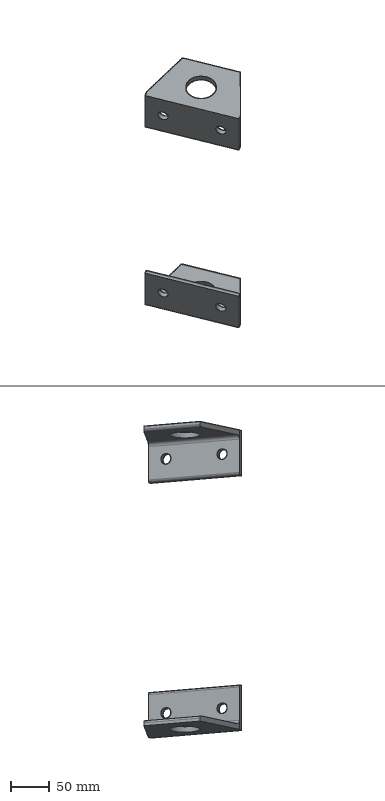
import cadquery as cq

overall_height = 400.0
bracket_width = 130.0
shelf_depth = 80.0
wall_height = 60.0

thickness = 7.0
root_radius = 5.0
toe_radius = 3.0

shelf_tip_width = 80.0
straight_side_depth = thickness

shelf_hole_diameter = 40.0
shelf_hole_y = 37.5
bolt_hole_diameter = 14.0
bolt_hole_spacing = 80.0
bolt_hole_height = 30.5

cut_margin = 4.0


def angle_section():
    """L-section centred on X, with its heel along the X axis."""
    profile = (
        cq.Workplane("YZ")
        .polyline([
            (0, 0),
            (shelf_depth, 0),
            (shelf_depth, thickness),
            (thickness, thickness),
            (thickness, wall_height),
            (0, wall_height),
        ])
        .close()
        .extrude(bracket_width / 2, both=True)
    )
    root_edge = cq.selectors.NearestToPointSelector((0, thickness, thickness))
    shelf_toe = cq.selectors.NearestToPointSelector((0, shelf_depth, thickness))
    wall_toe = cq.selectors.NearestToPointSelector((0, thickness, wall_height))
    rounded_root = profile.edges("|X").edges(root_edge).fillet(root_radius)
    rounded_shelf = rounded_root.edges("|X").edges(shelf_toe).fillet(toe_radius)
    return rounded_shelf.edges("|X").edges(wall_toe).fillet(toe_radius)


def tapered_outline():
    """Prism that narrows the shelf towards its tip."""
    half_width = bracket_width / 2
    half_tip = shelf_tip_width / 2
    return (
        cq.Workplane("XY")
        .polyline([
            (-half_width, 0),
            (half_width, 0),
            (half_width, straight_side_depth),
            (half_tip, shelf_depth),
            (-half_tip, shelf_depth),
            (-half_width, straight_side_depth),
        ])
        .close()
        .extrude(wall_height)
    )


def shelf_hole():
    return (
        cq.Workplane("XY", origin=(0, shelf_hole_y, -cut_margin))
        .circle(shelf_hole_diameter / 2)
        .extrude(thickness + 2 * cut_margin)
    )


def bolt_holes():
    half_spacing = bolt_hole_spacing / 2
    return (
        cq.Workplane("XZ", origin=(0, -cut_margin, bolt_hole_height))
        .pushPoints([(-half_spacing, 0), (half_spacing, 0)])
        .circle(bolt_hole_diameter / 2)
        .extrude(-(thickness + 2 * cut_margin))
    )


def bracket():
    """Bracket with its shelf at the bottom and its wall rising from the heel."""
    body = angle_section().intersect(tapered_outline())
    return body.cut(shelf_hole()).cut(bolt_holes())


brackets = []
for is_upper in (False, True):
    body = bracket()
    if is_upper:
        body = body.mirror("XY", (0, 0, overall_height / 2))
    brackets.append(body.val())

result = cq.Compound.makeCompound(brackets)